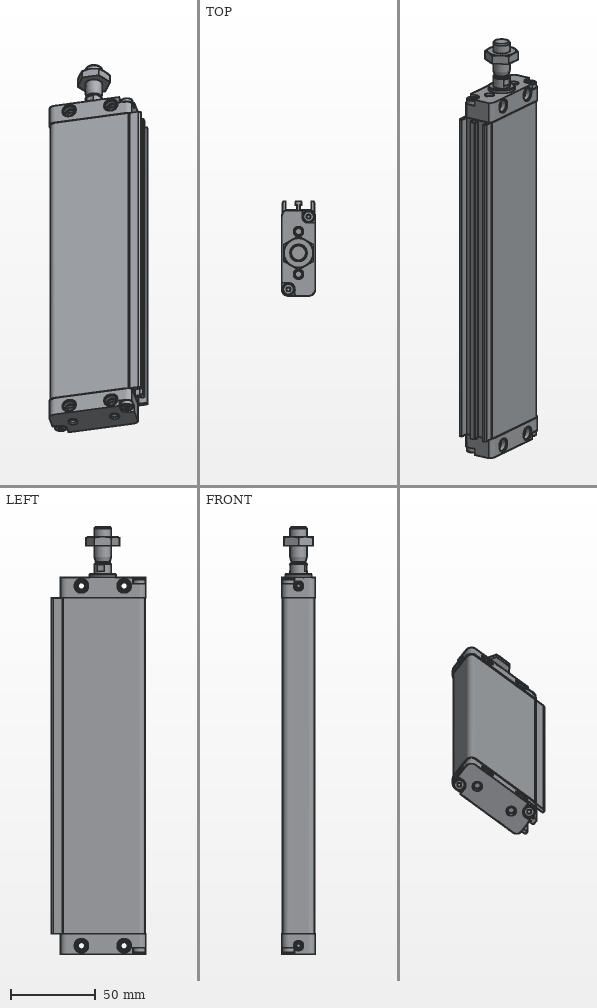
import cadquery as cq
import math


TOTAL_HEIGHT = 252.0
CAP_WIDTH = 20.0
CAP_HEIGHT = 12.0
FRONT_CAP_TOP = 222.3
BARREL_TOP = FRONT_CAP_TOP - CAP_HEIGHT
BARREL_LENGTH = BARREL_TOP - CAP_HEIGHT

CAP_HALF_DEPTH = 25.5
CAP_FIN_SIDE = 25.0
CORNER_RADIUS = 4.0
CORNER_X = CAP_WIDTH / 2 - CORNER_RADIUS
CORNER_Y = CAP_HALF_DEPTH - CORNER_RADIUS

COLLAR_DIAMETER = 16.0
COLLAR_HEIGHT = 2.0
COLLAR_CHAMFER = 0.5

MOUTH_DIAMETER = 5.8
CORE_DIAMETER = 4.0
MOUNT_Y = 12.5
HOLE_INSET = 5.0
END_HOLE_DEPTH = 2.5
PORT_DEPTH = 3.8
PORT_DUCT_DIAMETER = 2.5
PORT_DUCT_LENGTH = 2.5
COUNTERBORE_DIAMETER = 7.0
COUNTERBORE_DEPTH = 3.8
COUNTERBORE_CHAMFER = 0.63

POCKET_RADIUS = 3.8
POCKET_DEPTH = 3.8
SCREW_HEAD_DIAMETER = 7.0
SCREW_HEAD_HEIGHT = 3.0
SCREW_HEAD_CHAMFER = 0.5
SOCKET_DIAMETER = 2.5
SOCKET_DEPTH = 1.0

BARREL_INSET = 0.5
BARREL_HALF_WIDTH = CAP_WIDTH / 2 - BARREL_INSET
BARREL_FRONT = 25.0
BARREL_BACK = 25.5
BARREL_CORNER = 3.5
FIN_TIP = 30.5
FIN_THICKNESS = 2.0
GROOVE_START = 23.2
GROOVE_END = 24.0
GROOVE_DEPTH = 0.3
FIN_TIP_CHAMFER = 0.5
FIN_TIP_CHAMFER_LENGTH = 1.3
STEM_WIDTH = 2.0
BEAD_WIDTH = 3.8
BEAD_HEIGHT = 2.3
BEAD_CHAMFER = 0.5

ROD_DIAMETER = 10.0
ROD_TIP_DIAMETER = 8.5
ROD_TIP_CHAMFER = 1.0
NECK_DIAMETER = 8.0
SHANK_TOP = FRONT_CAP_TOP + 8.5
SHANK_CHAMFER = 0.8
THREAD_BOTTOM = 231.5
THREAD_RUNOUT = 2.8
FLAT_BOTTOM = FRONT_CAP_TOP + 3.5
FLAT_LENGTH = 4.0
FLAT_DISTANCE = 9.0
FLAT_ANGLE = 15.0

NUT_ACROSS_FLATS = 17.1
NUT_ACROSS_CORNERS = NUT_ACROSS_FLATS / math.cos(math.pi / 6)
NUT_HEIGHT = 5.3
NUT_BOTTOM = 241.0
NUT_CHAMFER_ANGLE = 25.0
NUT_TURN = 30.0


def cylinder(diameter, height, x=0.0, y=0.0, z=0.0):
    """Upright cylinder whose bottom centre is at (x, y, z)."""
    return cq.Workplane("XY", origin=(x, y, z)).circle(diameter / 2).extrude(height)


def chamfered_hole(diameter, mouth_diameter, depth, start, direction):
    """Tool for a blind hole that runs from `start` along `direction` and widens conically at its mouth."""
    radius = diameter / 2
    mouth_radius = mouth_diameter / 2
    profile = [
        (0, 0),
        (mouth_radius, 0),
        (radius, mouth_radius - radius),
        (radius, depth),
        (0, depth),
    ]
    along = cq.Vector(*direction)
    across = cq.Vector(1, 0, 0) if along.x == 0 else cq.Vector(0, 0, 1)
    plane = cq.Plane(origin=start, xDir=across, normal=across.cross(along))
    return cq.Workplane(plane).polyline(profile).close().revolve(360, (0, 0), (0, 1))


def tapped_hole(depth, start, direction):
    return chamfered_hole(CORE_DIAMETER, MOUTH_DIAMETER, depth, start, direction)


def cap_block():
    block = (
        cq.Workplane("XY", origin=(0, 0, BARREL_TOP))
        .rect(CAP_WIDTH, 2 * CAP_HALF_DEPTH)
        .extrude(CAP_HEIGHT)
        .edges("|Z")
        .fillet(CORNER_RADIUS)
    )
    kept_depth = CAP_HALF_DEPTH + CAP_FIN_SIDE
    kept = (
        cq.Workplane("XY", origin=(0, (CAP_FIN_SIDE - CAP_HALF_DEPTH) / 2, BARREL_TOP))
        .rect(CAP_WIDTH, kept_depth)
        .extrude(CAP_HEIGHT)
    )
    return block.intersect(kept)


def side_hole(y):
    """Through hole along X, counterbored from both sides."""
    z = FRONT_CAP_TOP - HOLE_INSET
    half = CAP_WIDTH / 2
    hole = cq.Workplane("YZ", origin=(-half, y, z)).circle(CORE_DIAMETER / 2).extrude(CAP_WIDTH)
    for side in (-1, 1):
        mouth = (side * half, y, z)
        floor = (side * (half - COUNTERBORE_DEPTH), y, z)
        inward = (-side, 0, 0)
        chamfered_width = COUNTERBORE_DIAMETER + 2 * COUNTERBORE_CHAMFER
        counterbore = chamfered_hole(COUNTERBORE_DIAMETER, chamfered_width, COUNTERBORE_DEPTH, mouth, inward)
        hole = hole.union(counterbore)
        hole = hole.union(tapped_hole(half - COUNTERBORE_DEPTH, floor, inward))
    return hole


def screw_pocket(side):
    """Round-cornered recess that opens through the two faces next to a cap corner."""
    inner_x = CORNER_X - POCKET_RADIUS
    inner_y = CORNER_Y - POCKET_RADIUS
    outer_x = CAP_WIDTH / 2
    outer_y = CAP_HALF_DEPTH
    return (
        cq.Workplane("XY", origin=(0, 0, FRONT_CAP_TOP - POCKET_DEPTH))
        .moveTo(side * inner_x, side * outer_y)
        .lineTo(side * inner_x, side * CORNER_Y)
        .radiusArc((side * CORNER_X, side * inner_y), -POCKET_RADIUS)
        .lineTo(side * outer_x, side * inner_y)
        .lineTo(side * outer_x, side * outer_y)
        .close()
        .extrude(POCKET_DEPTH)
    )


def screw_head(side):
    """Round head with a chamfered rim and a socket that ends in a cone."""
    x = side * CORNER_X
    y = side * CORNER_Y
    floor = FRONT_CAP_TOP - POCKET_DEPTH
    socket_floor = floor + SCREW_HEAD_HEIGHT - SOCKET_DEPTH
    socket_radius = SOCKET_DIAMETER / 2
    head = cylinder(SCREW_HEAD_DIAMETER, SCREW_HEAD_HEIGHT, x, y, floor)
    head = head.faces(">Z").edges().chamfer(SCREW_HEAD_CHAMFER)
    socket = cylinder(SOCKET_DIAMETER, SOCKET_DEPTH, x, y, socket_floor)
    tip_start = cq.Vector(x, y, socket_floor)
    tip = cq.Solid.makeCone(socket_radius, 0, socket_radius, tip_start, cq.Vector(0, 0, -1))
    return head.cut(socket).cut(cq.Workplane(obj=tip))


def air_port():
    """Tapped hole in the -Y face that continues as a narrower duct."""
    z = FRONT_CAP_TOP - HOLE_INSET
    port = tapped_hole(PORT_DEPTH, (0, -CAP_HALF_DEPTH, z), (0, 1, 0))
    duct = (
        cq.Workplane("XZ", origin=(0, PORT_DEPTH - CAP_HALF_DEPTH, z))
        .circle(PORT_DUCT_DIAMETER / 2)
        .extrude(-PORT_DUCT_LENGTH)
    )
    return port.union(duct)


def plain_cap():
    """Cap at the front end with its holes and corner screws, without the rod opening."""
    cap = cap_block()
    for side in (-1, 1):
        cap = cap.cut(side_hole(side * MOUNT_Y))
        end_hole_start = (0, side * MOUNT_Y, FRONT_CAP_TOP)
        cap = cap.cut(tapped_hole(END_HOLE_DEPTH, end_hole_start, (0, 0, -1)))
        cap = cap.cut(screw_pocket(side))
        cap = cap.union(screw_head(side))
    return cap.cut(air_port())


def make_front_cap():
    collar = cylinder(COLLAR_DIAMETER, COLLAR_HEIGHT, z=FRONT_CAP_TOP)
    collar = collar.faces(">Z").edges().chamfer(COLLAR_CHAMFER)
    bore = cylinder(ROD_DIAMETER, CAP_HEIGHT + COLLAR_HEIGHT, z=BARREL_TOP)
    return plain_cap().union(collar).cut(bore)


def make_rear_cap():
    return plain_cap().mirror("XY", (0, 0, FRONT_CAP_TOP / 2))


def extruded_outline(points):
    return cq.Workplane("XY", origin=(0, 0, CAP_HEIGHT)).polyline(points).close().extrude(BARREL_LENGTH)


def barrel_body():
    groove_floor = BARREL_HALF_WIDTH - GROOVE_DEPTH
    right_side = [
        (BARREL_HALF_WIDTH, -BARREL_FRONT),
        (BARREL_HALF_WIDTH, GROOVE_START),
        (groove_floor, GROOVE_START),
        (groove_floor, GROOVE_END),
        (BARREL_HALF_WIDTH, GROOVE_END),
        (BARREL_HALF_WIDTH, BARREL_BACK),
    ]
    left_side = [(-x, y) for x, y in reversed(right_side)]
    body = extruded_outline(right_side + left_side)
    return body.edges("|Z and <Y").fillet(BARREL_CORNER)


def outer_fin(side):
    outside = side * BARREL_HALF_WIDTH
    tip = outside - side * FIN_TIP_CHAMFER
    inside = outside - side * FIN_THICKNESS
    return extruded_outline([
        (inside, BARREL_BACK),
        (outside, BARREL_BACK),
        (outside, FIN_TIP - FIN_TIP_CHAMFER_LENGTH),
        (tip, FIN_TIP),
        (inside, FIN_TIP),
    ])


def middle_fin():
    """T-shaped rail: a thin stem with a wider bead along its tip."""
    bead_bottom = FIN_TIP - BEAD_HEIGHT
    right_side = [
        (STEM_WIDTH / 2, BARREL_BACK),
        (STEM_WIDTH / 2, bead_bottom),
        (BEAD_WIDTH / 2, bead_bottom),
        (BEAD_WIDTH / 2, FIN_TIP - BEAD_CHAMFER),
        (BEAD_WIDTH / 2 - BEAD_CHAMFER, FIN_TIP),
    ]
    left_side = [(-x, y) for x, y in reversed(right_side)]
    return extruded_outline(right_side + left_side)


def make_barrel():
    barrel = barrel_body().union(middle_fin())
    for side in (-1, 1):
        barrel = barrel.union(outer_fin(side))
    return barrel


def make_rod():
    radius = ROD_DIAMETER / 2
    profile = [
        (0, BARREL_TOP),
        (radius, BARREL_TOP),
        (radius, SHANK_TOP - SHANK_CHAMFER),
        (radius - SHANK_CHAMFER, SHANK_TOP),
        (NECK_DIAMETER / 2, SHANK_TOP),
        (NECK_DIAMETER / 2, THREAD_BOTTOM),
        (ROD_TIP_DIAMETER / 2, THREAD_BOTTOM),
        (radius, THREAD_BOTTOM + THREAD_RUNOUT),
        (radius, TOTAL_HEIGHT - ROD_TIP_CHAMFER),
        (ROD_TIP_DIAMETER / 2, TOTAL_HEIGHT),
        (0, TOTAL_HEIGHT),
    ]
    rod = cq.Workplane("XZ").polyline(profile).close().revolve(360, (0, 0), (0, 1))
    for side in (-1, 1):
        waste = (
            cq.Workplane("XY", origin=(0, 0, FLAT_BOTTOM))
            .center(side * (FLAT_DISTANCE + ROD_DIAMETER) / 2, 0)
            .rect(ROD_DIAMETER, ROD_DIAMETER)
            .extrude(FLAT_LENGTH)
            .rotate((0, 0, 0), (0, 0, 1), -FLAT_ANGLE)
        )
        rod = rod.cut(waste)
    return rod


def make_nut():
    base = cq.Workplane("XY", origin=(0, 0, NUT_BOTTOM))
    hexagon = base.polygon(6, NUT_ACROSS_CORNERS).extrude(NUT_HEIGHT)
    hexagon = hexagon.rotate((0, 0, 0), (0, 0, 1), NUT_TURN)
    corner_width = (NUT_ACROSS_CORNERS - NUT_ACROSS_FLATS) / 2
    corner_height = corner_width * math.tan(math.radians(NUT_CHAMFER_ANGLE))
    disc = base.circle(NUT_ACROSS_CORNERS / 2).extrude(NUT_HEIGHT)
    disc = disc.faces(">Z").edges().chamfer(corner_height, corner_width)
    return hexagon.intersect(disc).cut(cylinder(ROD_DIAMETER, NUT_HEIGHT, z=NUT_BOTTOM))


front_cap = make_front_cap()
rear_cap = make_rear_cap()
barrel = make_barrel()
rod = make_rod()
nut = make_nut()

result = cq.Compound.makeCompound([
    front_cap.val(),
    rear_cap.val(),
    barrel.val(),
    rod.val(),
    nut.val(),
])